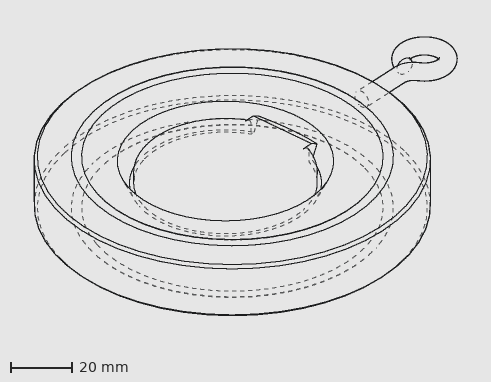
import cadquery as cq
import math

body_diameter = 129.0
body_thickness = 20.0
body_chamfer = 1.0

overall_thickness = 21.9
seal_wire_diameter = 4.0
seal_mean_radius = 50.8

recess_offset_y = -3.5
recess_top_radius = 35.2
recess_floor_radius = 31.3
recess_depth = 8.5

flap_radius = 30.0
flap_edge_radius = 2.5
flap_drop = 2.0
tab_width = 25.0
tab_flat_reach = 28.4
tab_slope_end = 33.2
tab_slope_drop = 2.5

overall_length = 171
wire_diameter = 6.0
eye_outer_diameter = 21.4
bend_radius = 6.2
eye_end_angle = 16
wire_embed_depth = 8.5

eye_top_y = overall_length - body_diameter / 2
body_top = body_thickness / 2
recess_floor = body_top - recess_depth
flap_top = body_top - flap_drop
flap_thickness = flap_top - recess_floor


def make_body():
    disc = cq.Workplane("XY").workplane(offset=-body_top).circle(body_diameter / 2).extrude(body_thickness)
    return disc.edges().chamfer(body_chamfer)


def make_seal(side):
    """Sealing ring on the upper (side = 1) or lower (side = -1) face."""
    center_z = side * (overall_thickness - seal_wire_diameter) / 2
    section = cq.Workplane("XZ").center(seal_mean_radius, center_z).circle(seal_wire_diameter / 2)
    return section.revolve(360, (-seal_mean_radius, 0), (-seal_mean_radius, 1))


def make_recess():
    profile = (
        cq.Workplane("XZ")
        .moveTo(0, recess_floor)
        .lineTo(recess_floor_radius, recess_floor)
        .lineTo(recess_top_radius, body_top)
        .lineTo(0, body_top)
        .close()
    )
    return profile.revolve(360, (0, 0), (0, 1)).translate((0, recess_offset_y, 0))


def make_flap():
    plate = (
        cq.Workplane("XY")
        .workplane(offset=recess_floor)
        .circle(flap_radius)
        .extrude(flap_thickness)
        .faces(">Z")
        .edges()
        .fillet(flap_edge_radius)
    )
    slope = tab_slope_drop / (tab_slope_end - tab_flat_reach)
    tab_end = recess_top_radius
    tab_end_z = flap_top - slope * (tab_end - tab_flat_reach)
    tab = (
        cq.Workplane("YZ")
        .moveTo(0, recess_floor)
        .lineTo(tab_end, recess_floor)
        .lineTo(tab_end, tab_end_z)
        .lineTo(tab_flat_reach, flap_top)
        .lineTo(0, flap_top)
        .close()
        .extrude(tab_width / 2, both=True)
    )
    return plate.union(tab).translate((0, recess_offset_y, 0))


def make_lifting_eye():
    """Straight shank, a bend to +X, then a ring turned back almost to the shank."""
    ring_radius = (eye_outer_diameter - wire_diameter) / 2
    ring_center_y = eye_top_y - eye_outer_diameter / 2
    center_distance = ring_radius + bend_radius
    tangent_angle = math.asin(bend_radius / center_distance)
    bend_start_y = ring_center_y - center_distance * math.cos(tangent_angle)

    def on_ring(angle):
        """Point on the ring centreline; the angle is measured from -Y towards +X."""
        return (ring_radius * math.sin(angle), ring_center_y - ring_radius * math.cos(angle))

    half_bend = (math.pi / 2 - tangent_angle) / 2
    bend_middle = (
        bend_radius * (1 - math.cos(half_bend)),
        bend_start_y + bend_radius * math.sin(half_bend),
    )
    ring_end_angle = 2 * math.pi - math.radians(eye_end_angle)
    shank_start_y = body_diameter / 2 - wire_embed_depth
    path = (
        cq.Workplane("XY")
        .moveTo(0, shank_start_y)
        .lineTo(0, bend_start_y)
        .threePointArc(bend_middle, on_ring(tangent_angle))
        .threePointArc(on_ring((tangent_angle + ring_end_angle) / 2), on_ring(ring_end_angle))
    )
    section = cq.Workplane("XZ", origin=(0, shank_start_y, 0)).circle(wire_diameter / 2)
    return section.sweep(path)


result = (
    make_body()
    .cut(make_recess())
    .union(make_flap())
    .union(make_seal(1))
    .union(make_seal(-1))
    .union(make_lifting_eye())
)